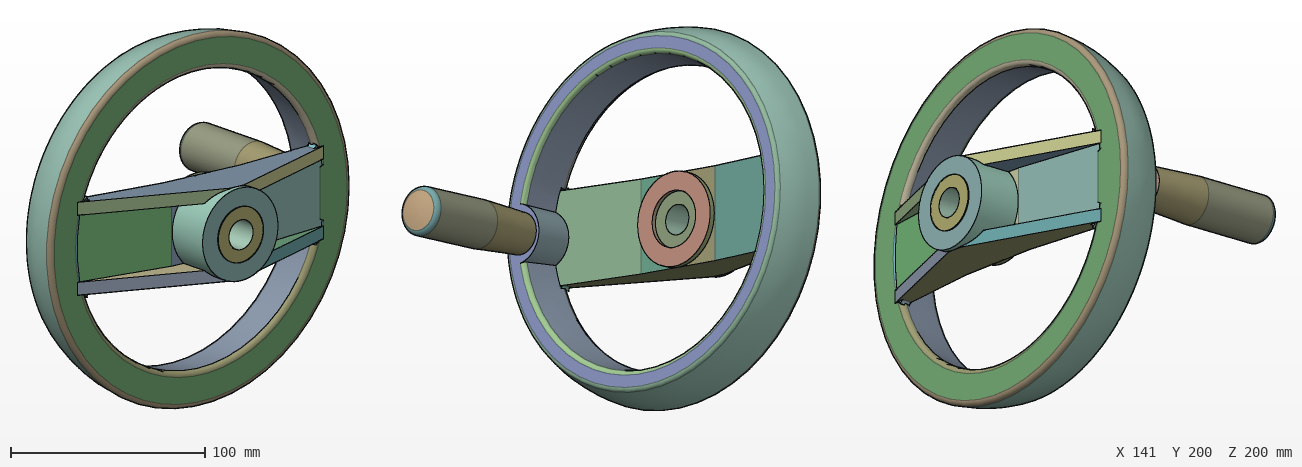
import cadquery as cq
import math

rim_radius = 100.0
rim_width = 28.0
rim_front_radius = 93.5
rim_bulge = 1.2
rim_bore_front_radius = 83.0
rim_bore_back_radius = 79.8
front_round = 2.6
back_round = 2.8

hub_diameter = 50.0
hub_front = 24.8
hub_back = 60.5
hub_pad_diameter = 30.0
hub_end = 61.0
hub_recess_depth = 2.6
bore_diameter = 16.0

spoke_width = 50.0
wall_thickness = 7.0
spoke_ridge = 57.5
ridge_half_length = 4.6
ridge_slope = 0.382
fold_offset = 25.5
spoke_front_centre = 28.0
spoke_front_end = 22.0
floor_at_hub = 35.6
floor_at_rim = 27.6
spoke_half_length = 82.0
corner_round = 1.6
corner_back_gap = 2.0
corner_bore_allowance = 0.7

handle_offset = 84.0
handle_tip = -80.0
handle_diameter = 26.0
handle_base_diameter = 22.5
handle_taper_start = -32.0
handle_end_round = 3.0
handle_dome_diameter = 21.2
handle_dome = 1.2
seat_diameter = 32.0
seat_offset = 87.0


def make_rim():
    """Revolve the crowned rim section about X."""
    crest = rim_width - back_round
    middle = (crest / 2, (rim_radius + rim_front_radius) / 2 + rim_bulge)
    corner_inset = back_round * (1 - math.sqrt(0.5))
    section = (
        cq.Workplane("XY")
        .moveTo(0, rim_bore_front_radius)
        .lineTo(0, rim_front_radius)
        .threePointArc(middle, (crest, rim_radius))
        .threePointArc(
            (rim_width - corner_inset, rim_radius - corner_inset),
            (rim_width, rim_radius - back_round),
        )
        .lineTo(rim_width, rim_bore_back_radius)
        .close()
    )
    rim = section.revolve(360, (0, 0, 0), (1, 0, 0))
    rim = rim.faces("<X").edges().fillet(front_round)
    bore_edge = cq.selectors.RadiusNthSelector(0)
    return rim.faces(">X").edges(bore_edge).fillet(back_round)


def x_cylinder(diameter, start, end, y=0.0, z=0.0):
    """Cylinder along X, centred on the given Y and Z."""
    plane = cq.Workplane("YZ", origin=(start, y, z))
    return plane.circle(diameter / 2).extrude(end - start)


def spoke_front(y):
    """X of the front face: flat across the hub, then sloping forward."""
    half_flat = fold_offset
    slope = (spoke_front_centre - spoke_front_end) / (spoke_half_length - half_flat)
    return spoke_front_centre - slope * max(abs(y) - half_flat, 0)


def make_spokes():
    """Make both spokes as one tapering bar with a channel open to the back."""
    half_flat = fold_offset
    stations = [-spoke_half_length, -half_flat, half_flat, spoke_half_length]
    front = [(spoke_front(y), y) for y in stations]
    ridge_end = spoke_ridge - ridge_slope * (spoke_half_length - ridge_half_length)
    back = [
        (ridge_end, spoke_half_length),
        (spoke_ridge, ridge_half_length),
        (spoke_ridge, -ridge_half_length),
        (ridge_end, -spoke_half_length),
    ]
    body = cq.Workplane("XY").polyline(front + back).close().extrude(spoke_width / 2, both=True)
    floor_x = [floor_at_rim, floor_at_hub, floor_at_hub, floor_at_rim]
    floor = list(zip(floor_x, stations))
    past_ridge = [(hub_end, spoke_half_length), (hub_end, -spoke_half_length)]
    channel = cq.Workplane("XY").polyline(floor + past_ridge).close()
    return body.cut(channel.extrude(spoke_width / 2 - wall_thickness, both=True))


def make_handle():
    """Revolve the grip, with a domed end and a tapered neck."""
    radius = handle_diameter / 2
    dome_radius = handle_dome_diameter / 2
    shoulder = handle_tip + handle_dome
    outline = (
        cq.Workplane("XY")
        .moveTo(handle_tip, 0)
        .threePointArc((handle_tip + handle_dome / 4, dome_radius / 2), (shoulder, dome_radius))
        .tangentArcPoint((shoulder + handle_end_round, radius), relative=False)
        .lineTo(handle_taper_start, radius)
        .lineTo(0, handle_base_diameter / 2)
        .lineTo(0, 0)
        .close()
    )
    handle = outline.revolve(360, (0, 0, 0), (1, 0, 0))
    return handle.translate((0, handle_offset, 0))


def make_corner_fillet():
    """Fillet stock between a spoke's upper side and the rim bore, on the +Y, +Z side."""
    side = spoke_width / 2
    bore = rim_bore_back_radius + corner_bore_allowance
    round_z = side + corner_round
    round_y = math.sqrt((bore - corner_round) ** 2 - round_z**2)
    wall_y = math.sqrt((bore + corner_round) ** 2 - side**2)
    reach = bore / (bore - corner_round)
    ridge_end = spoke_ridge - ridge_slope * (round_y - ridge_half_length)
    stock_end = ridge_end - corner_back_gap
    stock = (
        cq.Workplane("YZ", origin=(spoke_front(round_y), 0, 0))
        .polyline([(round_y, side), (wall_y, side), (round_y * reach, round_z * reach), (round_y, round_z)])
        .close()
        .extrude(stock_end - spoke_front(round_y))
    )
    return stock.cut(x_cylinder(2 * corner_round, 0, hub_end, round_y, round_z))


rim = make_rim()
hub = x_cylinder(hub_diameter, hub_front, hub_back)
hub = hub.union(x_cylinder(hub_pad_diameter, hub_back, hub_end))
seat = x_cylinder(seat_diameter, 0, spoke_front_centre, seat_offset)
seat_limit = x_cylinder(2 * (rim_front_radius - front_round), 0, rim_width)
seat = seat.intersect(seat_limit)

result = rim.union(make_spokes()).union(seat).union(hub)
corner = make_corner_fillet()
for upper_corner in (corner, corner.mirror("XZ")):
    result = result.union(upper_corner).union(upper_corner.mirror("XY"))
result = result.cut(x_cylinder(hub_pad_diameter, hub_front, hub_front + hub_recess_depth))
result = result.cut(x_cylinder(bore_diameter, hub_front, hub_end))
result = result.union(make_handle())